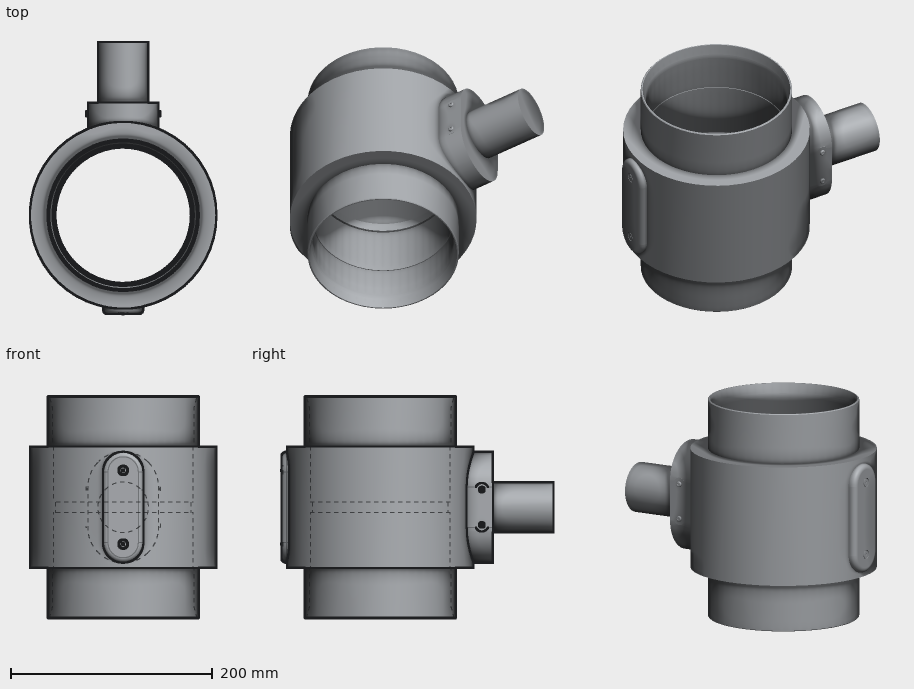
import cadquery as cq
import math

BODY_RADIUS = 92.5
BODY_HEIGHT = 120.0
SOCKET_RADIUS = 75.0
OVERALL_HEIGHT = 220.06
RIM_CHAMFER = 0.7

MOUTH_RADIUS = 73.2
TAPER_ANGLE = math.radians(15)
TAPER_DEPTH = 10.0
BLEND_RADIUS = 15.0
SOCKET_BORE_DEPTH = 50.0
SEAT_RADIUS = 69.2
LIP_RADIUS = 67.0
LIP_THICKNESS = 10.0

COLLAR_WIDTH = 70.0
COLLAR_HEIGHT = 110.0
COLLAR_END_Y = 111.6
STUB_RADIUS = 25.0
STUB_END_Y = 171.6

SIDE_SCREW_Y = 100.6
SIDE_SCREW_Z = 17.5
SIDE_PAD_RADIUS = 6.5
SIDE_PAD_DEPTH = 6.0
SIDE_HEAD_RADIUS = 2.8
SIDE_HEAD_HEIGHT = 1.8
SIDE_HEAD_ROUNDING = 1.0
HEX_SIDES = 6
SIDE_SOCKET_WIDTH = 2.5
SIDE_SOCKET_DEPTH = 1.0

PLATE_WIDTH = 40.0
PLATE_HEIGHT = 110.0
PLATE_FACE_Y = -98.0
PLATE_FILLET = 5.0
COVER_SCREW_Z = 36.5
COVER_RECESS_RADIUS = 4.7
COVER_RECESS_DEPTH = 1.5
COVER_HEAD_RADIUS = 3.9
COVER_SOCKET_RADIUS = 1.0
COVER_SOCKET_DEPTH = 1.0
COVER_PIN_RADIUS = 0.5
COVER_PIN_END_Y = -98.33


def obround_along_y(width, height, start_y, end_y):
    """Upright obround bar between two Y positions."""
    plane = cq.Workplane("XZ", origin=(0, start_y, 0))
    return plane.slot2D(height, width, 90).extrude(start_y - end_y)


def rod_along_y(radius, start_y, end_y, z=0.0):
    """Round bar between two Y positions."""
    plane = cq.Workplane("XZ", origin=(0, start_y, z))
    return plane.circle(radius).extrude(start_y - end_y)


def make_body():
    sockets = cq.Workplane("XY").circle(SOCKET_RADIUS).extrude(OVERALL_HEIGHT / 2, both=True)
    sockets = sockets.edges().chamfer(RIM_CHAMFER)
    ring = cq.Workplane("XY").circle(BODY_RADIUS).extrude(BODY_HEIGHT / 2, both=True)
    return sockets.union(ring)


def make_half_bore():
    """Hollow from the middle of the body out through the upper end."""
    end_z = OVERALL_HEIGHT / 2
    step_z = end_z - SOCKET_BORE_DEPTH
    taper_end_z = end_z - TAPER_DEPTH
    taper_end_radius = MOUTH_RADIUS - TAPER_DEPTH * math.tan(TAPER_ANGLE)
    bore_radius = taper_end_radius - BLEND_RADIUS * (1 - math.cos(TAPER_ANGLE))
    blend_end_z = taper_end_z - BLEND_RADIUS * math.sin(TAPER_ANGLE)
    blend_mid_radius = bore_radius + BLEND_RADIUS * (1 - math.cos(TAPER_ANGLE / 2))
    blend_mid_z = blend_end_z + BLEND_RADIUS * math.sin(TAPER_ANGLE / 2)
    profile = (
        cq.Workplane("XZ")
        .lineTo(LIP_RADIUS, 0)
        .lineTo(LIP_RADIUS, LIP_THICKNESS / 2)
        .lineTo(SEAT_RADIUS, LIP_THICKNESS / 2)
        .lineTo(SEAT_RADIUS, step_z)
        .lineTo(bore_radius, step_z)
        .lineTo(bore_radius, blend_end_z)
        .threePointArc((blend_mid_radius, blend_mid_z), (taper_end_radius, taper_end_z))
        .lineTo(MOUTH_RADIUS, end_z)
        .lineTo(0, end_z)
        .close()
    )
    return profile.revolve(360, (0, 0), (0, 1))


def make_side_screw(side, z):
    """Pad level with the flat collar side, carrying a button-head screw."""
    face_x = side * COLLAR_WIDTH / 2
    face = cq.Workplane("YZ", origin=(face_x, SIDE_SCREW_Y, z))
    pad = face.circle(SIDE_PAD_RADIUS).extrude(-side * SIDE_PAD_DEPTH)
    head = face.circle(SIDE_HEAD_RADIUS).extrude(side * SIDE_HEAD_HEIGHT)
    head = head.faces(">X" if side > 0 else "<X").edges().fillet(SIDE_HEAD_ROUNDING)
    head_top = cq.Workplane("YZ", origin=(face_x + side * SIDE_HEAD_HEIGHT, SIDE_SCREW_Y, z))
    socket = head_top.polygon(HEX_SIDES, SIDE_SOCKET_WIDTH).extrude(-side * SIDE_SOCKET_DEPTH)
    return pad.union(head.cut(socket))


def make_collar():
    collar = obround_along_y(COLLAR_WIDTH, COLLAR_HEIGHT, 0, COLLAR_END_Y)
    collar = collar.union(rod_along_y(STUB_RADIUS, 0, STUB_END_Y))
    for side in (-1, 1):
        for z in (-SIDE_SCREW_Z, SIDE_SCREW_Z):
            collar = collar.union(make_side_screw(side, z))
    return collar


def make_cover_screw(z):
    """Flush screw head with a round socket and a center pin, standing in a plate recess."""
    recess_floor_y = PLATE_FACE_Y + COVER_RECESS_DEPTH
    socket_floor_y = PLATE_FACE_Y + COVER_SOCKET_DEPTH
    head = rod_along_y(COVER_HEAD_RADIUS, recess_floor_y, PLATE_FACE_Y, z)
    head = head.cut(rod_along_y(COVER_SOCKET_RADIUS, socket_floor_y, PLATE_FACE_Y, z))
    return head.union(rod_along_y(COVER_PIN_RADIUS, recess_floor_y, COVER_PIN_END_Y, z))


def make_cover_plate():
    plate = obround_along_y(PLATE_WIDTH, PLATE_HEIGHT, 0, PLATE_FACE_Y)
    plate = plate.faces("<Y").edges().fillet(PLATE_FILLET)
    recess_floor_y = PLATE_FACE_Y + COVER_RECESS_DEPTH
    for z in (-COVER_SCREW_Z, COVER_SCREW_Z):
        plate = plate.cut(rod_along_y(COVER_RECESS_RADIUS, recess_floor_y, PLATE_FACE_Y, z))
        plate = plate.union(make_cover_screw(z))
    return plate


half_bore = make_half_bore()
result = make_body().union(make_collar()).union(make_cover_plate())
result = result.cut(half_bore).cut(half_bore.mirror("XY"))